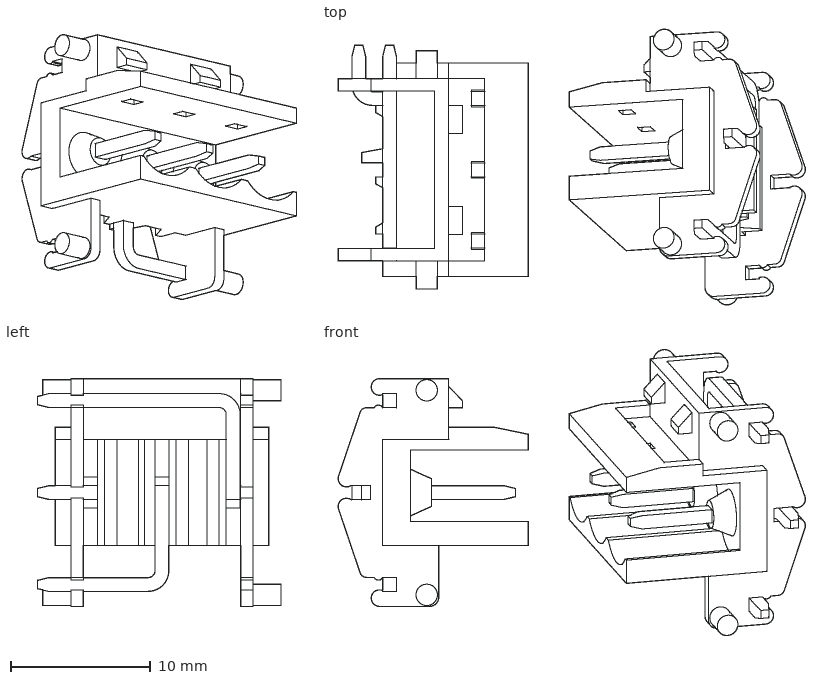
import cadquery as cq
import math


pitch = 5.09
pin_rows = [-pitch, 0, pitch]
pin_size = 1.0
bend_radius = 1.0
pin_front_x = 9.5
tail_end_y = 8.91
tip_length = 0.83
tip_size = 0.6
leg_x = pin_size / 2
tail_z = 6.57
middle_tail_x = -1.7

shroud_front_x = 10.42
shroud_half_width = 7.64
shroud_half_height = 3.8
shroud_top_z = 4.68
lead_in_start_x = 7.95
lead_in_front_z = 4.17
wall_rear_x = 1.0
wall_front_x = 2.0
cavity_top_z = 3.04
cavity_floor_z = -2.05
bore_radius = cavity_top_z
cone_length = 1.5
cone_base_radius = 1.68
cone_end_radius = 1.0
pocket_rear_half_height = 1.1

recess_front_x = 7.3
window_length = 0.95
window_width = 1.2

short_rib_x = -0.5
long_rib_x = -1.5
short_rib_tip = 0.5
short_rib_base = 1.38
long_rib_tip = 0.74
long_rib_base = 1.19

plate_outer_y = 6.51
plate_thickness = 0.89
plate_inner_y = plate_outer_y - plate_thickness
plate_half_height = 16.29 / 2
upper_plate_x = 4.72
lower_plate_x = 4.03
lower_corner_radius = 0.7
lobe_radius = 0.6
end_lobe_x = -0.215
middle_lobe_x = -2.58
middle_lobe_z = 1.0
middle_slot_x = -0.85
slot_near_z = tail_z - pin_size / 2
slot_far_z = tail_z + pin_size / 2
shoulder_x = -1.5
shoulder_radius = 0.5
bump_half_width = 0.3
bump_height = 0.19

cross_wall_thickness = 1.0
latch_spacing = 7.22
latch_width = 2.0
latch_reach = 1.0
latch_top_z = 7.59
latch_edge_z = 6.56
latch_bottom_z = 6.06
peg_x = 3.155
peg_z = 7.31
peg_radius = 0.765
peg_end_y = 8.52


def box(x0, x1, y0, y1, z0, z1):
    """Block between the given limits on each axis."""
    return cq.Workplane("XY").box(x1 - x0, y1 - y0, z1 - z0, centered=False).translate((x0, y0, z0))


def prism_along_y(outline, y_center, width):
    """Straight-sided (x, z) outline, extruded along Y about y_center."""
    plane = cq.Workplane("XZ", origin=(0, y_center, 0))
    return plane.polyline(outline).close().extrude(width / 2, both=True)


def round_edge(plate, x, z, radius):
    """Fillet the edge of the +Y side plate that runs through its thickness at (x, z)."""
    middle = (x, plate_outer_y - plate_thickness / 2, z)
    return plate.edges(cq.selectors.NearestToPointSelector(middle)).fillet(radius)


def half_plate(front_x):
    """Upper half of a side plate, from the middle slot to the top end, lying at +Y."""
    half_pin = pin_size / 2
    end_lobe_z = plate_half_height - lobe_radius
    run = shoulder_x - middle_lobe_x
    rise = slot_near_z - middle_lobe_z
    lean = math.atan2(run, rise) + math.asin(lobe_radius / math.hypot(run, rise))
    tangent_point = (
        middle_lobe_x - lobe_radius * math.cos(lean),
        middle_lobe_z + lobe_radius * math.sin(lean),
    )
    nose_drop = middle_lobe_z - half_pin
    nose_end_x = middle_lobe_x + math.sqrt(lobe_radius**2 - nose_drop**2)
    nose_bottom = (middle_lobe_x, middle_lobe_z - lobe_radius)
    end_nose_z = end_lobe_z - math.sqrt(lobe_radius**2 - end_lobe_x**2)
    outline = (
        cq.Workplane("XZ", origin=(0, plate_outer_y, 0))
        .moveTo(front_x, 0)
        .lineTo(front_x, plate_half_height)
        .lineTo(end_lobe_x, plate_half_height)
        .threePointArc((end_lobe_x - lobe_radius, end_lobe_z), (0, end_nose_z))
        .lineTo(0, slot_far_z)
        .lineTo(pin_size, slot_far_z)
        .lineTo(pin_size, slot_near_z)
        .lineTo(0, slot_near_z)
        .threePointArc((-bump_half_width, slot_near_z + bump_height), (-2 * bump_half_width, slot_near_z))
        .lineTo(shoulder_x, slot_near_z)
        .lineTo(*tangent_point)
        .threePointArc(nose_bottom, (nose_end_x, half_pin))
        .lineTo(middle_slot_x, half_pin)
        .lineTo(middle_slot_x, 0)
        .close()
    )
    plate = outline.extrude(plate_thickness)
    return round_edge(plate, shoulder_x, slot_near_z, shoulder_radius)


def side_plate():
    """Whole side plate at +Y; the lower half is shallower and has a rounded front corner."""
    lower = half_plate(lower_plate_x).mirror("XY")
    lower = round_edge(lower, lower_plate_x, -plate_half_height, lower_corner_radius)
    return half_plate(upper_plate_x).union(lower)


def shroud_block():
    """Outer block of the shroud with its thin rear wall and sloping roof edge."""
    outline = [
        (0, -shroud_half_height),
        (shroud_front_x, -shroud_half_height),
        (shroud_front_x, lead_in_front_z),
        (lead_in_start_x, shroud_top_z),
        (upper_plate_x, shroud_top_z),
        (upper_plate_x, shroud_half_height),
        (0, shroud_half_height),
    ]
    block = prism_along_y(outline, 0, 2 * shroud_half_width)
    rear_space = box(
        0, wall_rear_x, -plate_inner_y, plate_inner_y, -shroud_half_height, shroud_half_height
    )
    return block.cut(rear_space)


def cavity():
    """Mating space between roof and floor, open at the front and at both ends."""
    return box(
        wall_front_x, shroud_front_x, -shroud_half_width, shroud_half_width, cavity_floor_z, cavity_top_z
    )


def trough(y):
    """Part of the round bore about a pin that lies below the cavity floor."""
    bore = cq.Workplane("YZ", origin=(wall_front_x, y, 0)).circle(bore_radius)
    bore = bore.extrude(shroud_front_x - wall_front_x)
    below_floor = box(
        wall_front_x, shroud_front_x, y - bore_radius, y + bore_radius, -bore_radius, cavity_floor_z
    )
    return bore.intersect(below_floor)


def rib(y_side, direction, tip_x, tip_width, base_width):
    """Upright rear rib with one square side at y_side and one sloping side."""
    outline = [
        (wall_rear_x, y_side),
        (tip_x, y_side),
        (tip_x, y_side + direction * tip_width),
        (wall_rear_x, y_side + direction * base_width),
    ]
    plane = cq.Workplane("XY", origin=(0, 0, -shroud_half_height))
    return plane.polyline(outline).close().extrude(2 * shroud_half_height)


def rear_ribs():
    """Four ribs that guide the pin legs."""
    half_pin = pin_size / 2
    short = (short_rib_x, short_rib_tip, short_rib_base)
    return [
        rib(pitch - half_pin, -1, *short),
        rib(half_pin, 1, long_rib_x, long_rib_tip, long_rib_base),
        rib(-half_pin, -1, *short),
        rib(-pitch + half_pin, 1, *short),
    ]


def pin_cone(y):
    """Tapered collar around a pin on the front of the thin wall."""
    base = cq.Workplane("YZ", origin=(wall_front_x, y, 0)).circle(cone_base_radius)
    return base.workplane(offset=cone_length).circle(cone_end_radius).loft()


def pin_passage(y):
    """Square hole through the wall and cone, flared up and down at the rear."""
    half_pin = pin_size / 2
    flare = [
        (wall_rear_x, pocket_rear_half_height),
        (wall_front_x, half_pin),
        (wall_front_x, -half_pin),
        (wall_rear_x, -pocket_rear_half_height),
    ]
    hole = box(wall_rear_x, wall_front_x + cone_length, y - half_pin, y + half_pin, -half_pin, half_pin)
    return hole.union(prism_along_y(flare, y, pin_size))


def roof_window(y):
    """Inspection window through the roof at the front of the recess."""
    return box(
        recess_front_x - window_length, recess_front_x,
        y - window_width / 2, y + window_width / 2,
        0, shroud_half_height,
    )


def latch(y):
    """Wedge-shaped latch on the front of the cross wall."""
    outline = [
        (upper_plate_x, latch_bottom_z),
        (upper_plate_x + latch_reach, latch_bottom_z),
        (upper_plate_x + latch_reach, latch_edge_z),
        (upper_plate_x, latch_top_z),
    ]
    return prism_along_y(outline, y, latch_width)


def pegs():
    """Two round pegs on the outside of the +Y side plate."""
    plane = cq.Workplane("XZ", origin=(0, peg_end_y, 0))
    centers = [(peg_x, peg_z), (peg_x, -peg_z)]
    return plane.pushPoints(centers).circle(peg_radius).extrude(peg_end_y - plate_outer_y)


def make_housing():
    body = shroud_block()
    plate = side_plate()
    body = body.union(plate).union(plate.mirror("XZ"))
    cross_wall = box(
        upper_plate_x - cross_wall_thickness, upper_plate_x,
        -plate_outer_y, plate_outer_y,
        shroud_half_height, plate_half_height,
    )
    body = body.union(cross_wall).cut(cavity())
    roof_recess = box(
        upper_plate_x, recess_front_x, -plate_outer_y, plate_outer_y, shroud_half_height, shroud_top_z
    )
    body = body.cut(roof_recess)
    for y in pin_rows:
        body = body.cut(trough(y))
    for one_rib in rear_ribs():
        body = body.union(one_rib)
    for y in pin_rows:
        body = body.union(pin_cone(y)).cut(pin_passage(y)).cut(roof_window(y))
    for y in (-latch_spacing / 2, latch_spacing / 2):
        body = body.union(latch(y))
    return body.union(pegs()).union(pegs().mirror("XZ"))


def pin_path(corners):
    """Centreline through the corner points, with a rounded bend at each inner corner."""
    points = [cq.Vector(*corner) for corner in corners]
    edges = []
    start = points[0]
    for before, corner, after in zip(points, points[1:], points[2:]):
        bend_start = corner + (before - corner).normalized() * bend_radius
        bend_end = corner + (after - corner).normalized() * bend_radius
        center = bend_start + bend_end - corner
        bend_middle = center + (corner - center).normalized() * bend_radius
        edges.append(cq.Edge.makeLine(start, bend_start))
        edges.append(cq.Edge.makeThreePointArc(bend_start, bend_middle, bend_end))
        start = bend_end
    edges.append(cq.Edge.makeLine(start, points[-1]))
    return cq.Wire.assembleEdges(edges)


def pin_tip(end, direction):
    """Tapered square end of a pin."""
    taper = math.degrees(math.atan2((pin_size - tip_size) / 2, tip_length))
    plane = cq.Plane(origin=end, xDir=(0, 0, 1), normal=direction)
    return cq.Workplane(plane).rect(pin_size, pin_size).extrude(tip_length, taper=taper)


def make_pin(y, bends):
    """Square pin from its mating tip at row y, through the (x, z) bends, to its tail at +Y."""
    front = (pin_front_x - tip_length, y, 0)
    last_x, last_z = bends[-1]
    tail = (last_x, tail_end_y - tip_length, last_z)
    path = pin_path([front, *[(x, y, z) for x, z in bends], tail])
    section = cq.Workplane("YZ", origin=front).rect(pin_size, pin_size)
    bar = section.sweep(cq.Workplane(path))
    return bar.union(pin_tip(front, (1, 0, 0))).union(pin_tip(tail, (0, 1, 0)))


pin_bends = [
    [(leg_x, 0), (leg_x, tail_z)],
    [(leg_x, 0), (leg_x, -tail_z)],
    [(middle_tail_x, 0)],
]

housing = make_housing()
pins = [make_pin(y, bends) for y, bends in zip(pin_rows, pin_bends)]
result = cq.Compound.makeCompound([housing.solids().val(), *[pin.solids().val() for pin in pins]])